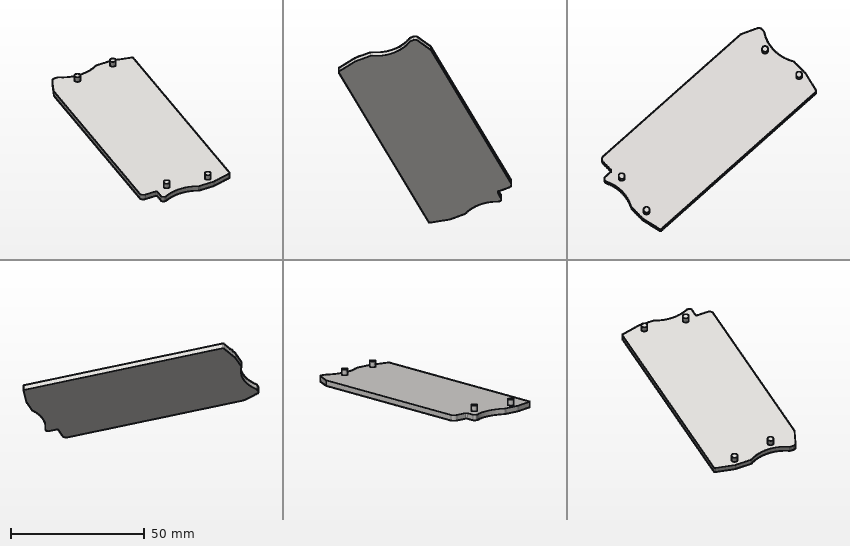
import cadquery as cq
import math

LENGTH = 84.1
WIDTH = 36.0
THICKNESS = 2.2
LEFT = -LENGTH / 2
RIGHT = LENGTH / 2
FRONT = -WIDTH / 2
BACK = WIDTH / 2

SHOULDER_INSET = 1.85
SHOULDER_DEPTH = 7.8
SHOULDER_RADIUS = 0.5

SCALLOP_RADIUS = 15.0
LEFT_SCALLOP_CENTRE = 22.6
LEFT_SCALLOP_HALF_CHORD = 8.1
RIGHT_SCALLOP_CENTRE = 21.0
RIGHT_SCALLOP_HALF_CHORD = 6.95
SCALLOP_EDGE_RADIUS = 1.0

SLOPE_LENGTH = 7.1
SLOPE_DEPTH = 2.9
SLOPE_RADIUS = 1.5

NOTCH_LENGTH = 4.5
NOTCH_WIDTH = 6.45
NOTCH_TIP_RADIUS = 1.0
NOTCH_INNER_RADIUS = 0.5
NOTCH_FRONT_RADIUS = 1.5

PIN_DIAMETER = 2.3
PIN_HEIGHT = 2.2
BACK_PIN_Y = BACK - 8.8
FRONT_PIN_Y = BACK - 24.95
PIN_CENTRES = [
    (LEFT + 2.6, BACK_PIN_Y),
    (LEFT + 5.0, FRONT_PIN_Y),
    (RIGHT - 2.9, BACK_PIN_Y),
    (RIGHT - 5.25, FRONT_PIN_Y),
]


def scallop_depth(half_chord):
    """Depth of a scallop arc below its chord."""
    return SCALLOP_RADIUS - math.sqrt(SCALLOP_RADIUS**2 - half_chord**2)


back_left = (LEFT + SHOULDER_INSET, BACK)
back_right = (RIGHT - SHOULDER_INSET, BACK)
left_scallop_y = BACK - LEFT_SCALLOP_CENTRE
left_scallop_back = (LEFT, left_scallop_y + LEFT_SCALLOP_HALF_CHORD)
left_scallop_front = (LEFT, left_scallop_y - LEFT_SCALLOP_HALF_CHORD)
right_scallop_y = BACK - RIGHT_SCALLOP_CENTRE
right_scallop_back = (RIGHT, right_scallop_y + RIGHT_SCALLOP_HALF_CHORD)
right_scallop_front = (RIGHT, right_scallop_y - RIGHT_SCALLOP_HALF_CHORD)
slope_end = (LEFT, FRONT + SLOPE_DEPTH)
notch_tip = (RIGHT, FRONT + NOTCH_WIDTH)
notch_inner = (RIGHT - NOTCH_LENGTH, FRONT + NOTCH_WIDTH)
notch_front = (RIGHT - NOTCH_LENGTH, FRONT)


def make_sharp_plate():
    """Plate with its full outline, before the corners are rounded."""
    left_scallop_middle = (LEFT + scallop_depth(LEFT_SCALLOP_HALF_CHORD), left_scallop_y)
    right_scallop_middle = (RIGHT - scallop_depth(RIGHT_SCALLOP_HALF_CHORD), right_scallop_y)
    return (
        cq.Workplane("XY")
        .moveTo(*back_left)
        .lineTo(*back_right)
        .lineTo(RIGHT, BACK - SHOULDER_DEPTH)
        .lineTo(*right_scallop_back)
        .threePointArc(right_scallop_middle, right_scallop_front)
        .lineTo(*notch_tip)
        .lineTo(*notch_inner)
        .lineTo(*notch_front)
        .lineTo(LEFT + SLOPE_LENGTH, FRONT)
        .lineTo(*slope_end)
        .lineTo(*left_scallop_front)
        .threePointArc(left_scallop_middle, left_scallop_back)
        .lineTo(LEFT, BACK - SHOULDER_DEPTH)
        .close()
        .extrude(THICKNESS)
    )


def round_corner(plate, corner, radius):
    """Fillet the upright plate edge that stands at one outline corner."""
    x, y = corner
    edge = cq.selectors.NearestToPointSelector((x, y, THICKNESS / 2))
    return plate.edges("|Z").edges(edge).fillet(radius)


def make_plate():
    plate = make_sharp_plate()
    rounded_corners = [
        (back_left, SHOULDER_RADIUS),
        (back_right, SHOULDER_RADIUS),
        (left_scallop_back, SCALLOP_EDGE_RADIUS),
        (left_scallop_front, SCALLOP_EDGE_RADIUS),
        (right_scallop_back, SCALLOP_EDGE_RADIUS),
        (right_scallop_front, SCALLOP_EDGE_RADIUS),
        (slope_end, SLOPE_RADIUS),
        (notch_tip, NOTCH_TIP_RADIUS),
        (notch_inner, NOTCH_INNER_RADIUS),
        (notch_front, NOTCH_FRONT_RADIUS),
    ]
    for corner, radius in rounded_corners:
        plate = round_corner(plate, corner, radius)
    return plate


def make_pins():
    """Pins run from the underside through the plate so that they fuse with it."""
    return (
        cq.Workplane("XY")
        .pushPoints(PIN_CENTRES)
        .circle(PIN_DIAMETER / 2)
        .extrude(THICKNESS + PIN_HEIGHT)
    )


result = make_plate().union(make_pins())